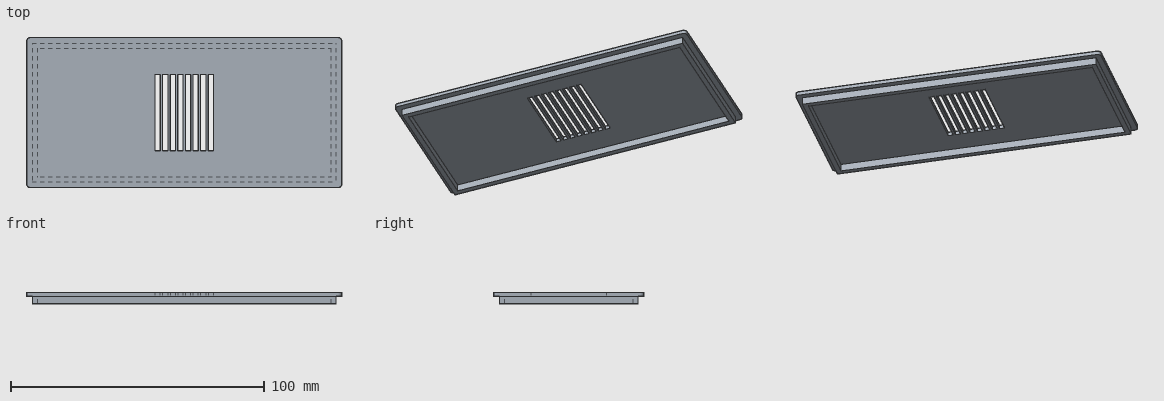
import cadquery as cq

length = 124.6
width = 59.4
total_height = 4.6
plate_thickness = 1.6
corner_radius = 1.5

rim_inset = 2.3
rim_wall = 2.0
rim_height = total_height - plate_thickness
rim_length = length - 2 * rim_inset
rim_width = width - 2 * rim_inset

slot_count = 8
slot_width = 2.0
slot_length = 30.0
slot_pitch = 3.0


def make_plate():
    """Flat cover with rounded vertical corners, resting on top of the rim."""
    return (
        cq.Workplane("XY")
        .workplane(offset=rim_height)
        .rect(length, width)
        .extrude(plate_thickness)
        .edges("|Z")
        .fillet(corner_radius)
    )


def make_rim():
    """Square-cornered rectangular frame, open at the bottom."""
    return (
        cq.Workplane("XY")
        .rect(rim_length, rim_width)
        .rect(rim_length - 2 * rim_wall, rim_width - 2 * rim_wall)
        .extrude(rim_height)
    )


def make_slots():
    """Row of parallel slot cutters, centred on the plate and running along Y."""
    return (
        cq.Workplane("XY")
        .rarray(slot_pitch, slot_length, slot_count, 1)
        .rect(slot_width, slot_length)
        .extrude(total_height)
    )


result = make_plate().union(make_rim()).cut(make_slots())